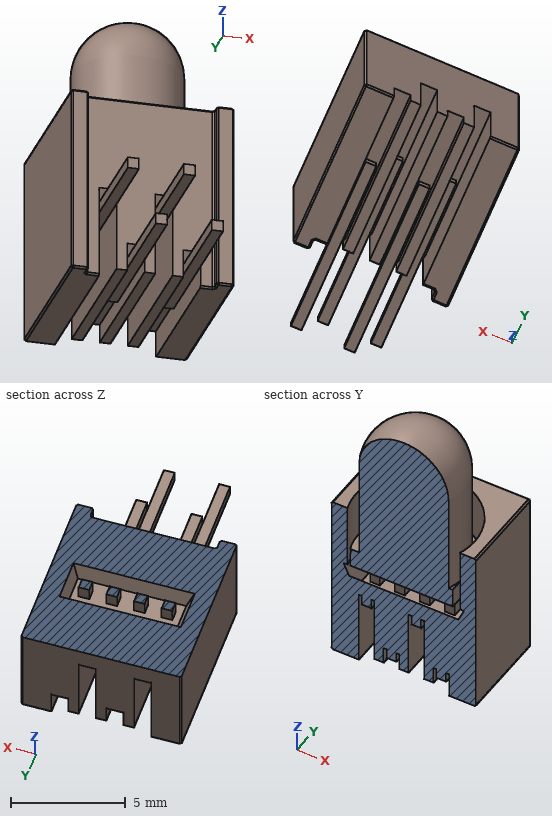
import cadquery as cq
import math

total_height = 13.93
total_depth = 11.56

housing_width = 7.37
housing_back = 3.68
housing_depth = 7.87
housing_height = 8.61
housing_front = housing_back - housing_depth
recess_width = 5.8
recess_depth = 0.5
recess_face = housing_front + recess_depth
edge_chamfer = 0.08

led_radius = 2.5
dome_centre_z = total_height - led_radius
flange_radius = 2.9
flange_height = 1.0
bore_radius = 3.02
bore_floor_z = 5.3

pocket_length = 6.1
pocket_width = 2.51
pocket_depth = 1.21
pocket_wall_slope = 65.0

lead_pitch = 1.27
lead_size = 0.5
lead_end = housing_back - total_depth
lower_lead_top = 1.25
upper_lead_top = lower_lead_top + 2 * lead_pitch
lead_tops = [upper_lead_top, lower_lead_top, upper_lead_top, lower_lead_top]
lead_count = len(lead_tops)
leads = [((i - (lead_count - 1) / 2) * lead_pitch, top) for i, top in enumerate(lead_tops)]

slot_width = 0.78
slot_lead_in_height = 0.45
slot_lead_in_depth = 0.26
rib_bottom_z = 0.4


def box(x_range, y_range, z_range):
    """Axis-aligned block spanning the three given (low, high) ranges."""
    spans = (x_range, y_range, z_range)
    size = [high - low for low, high in spans]
    corner = tuple(low for low, high in spans)
    return cq.Workplane("XY").box(*size, centered=False).translate(corner)


def housing_block():
    """Plain block with the front recess and broken outer edges."""
    half_width = housing_width / 2
    half_recess = recess_width / 2
    right_side = [
        (half_width, housing_back),
        (half_width, housing_front),
        (half_recess, housing_front),
        (half_recess, recess_face),
    ]
    left_side = [(-x, y) for x, y in reversed(right_side)]
    block = cq.Workplane("XY").polyline(right_side + left_side).close().extrude(housing_height)
    block = block.edges("|Z").chamfer(edge_chamfer)
    return block.faces("<Z or >Z").chamfer(edge_chamfer)


def slot_cutter(x, top):
    """Slot from the underside up to the lead top, through the whole depth."""
    profile = [
        (housing_front, 0),
        (housing_back, 0),
        (housing_back, top),
        (recess_face + slot_lead_in_depth, top),
        (recess_face, top + slot_lead_in_height),
        (housing_front, top + slot_lead_in_height),
    ]
    cutter = cq.Workplane("YZ").polyline(profile).close().extrude(slot_width / 2, both=True)
    return cutter.translate((x, 0, 0))


def rib_relief():
    """Shallow cut that lifts the ribs between the slots off the underside."""
    half_span = leads[-1][0] + slot_width / 2
    return box((-half_span, half_span), (housing_front, housing_back), (0, rib_bottom_z))


def led_bore():
    """Round bore from the top face, with the tapered pocket in its floor."""
    bore = cq.Workplane("XY", origin=(0, 0, bore_floor_z)).circle(bore_radius)
    bore = bore.extrude(housing_height - bore_floor_z)
    inset = pocket_depth / math.tan(math.radians(pocket_wall_slope))
    pocket = (
        cq.Workplane("XY", origin=(0, 0, bore_floor_z))
        .rect(pocket_length, pocket_width)
        .workplane(offset=-pocket_depth)
        .rect(pocket_length - 2 * inset, pocket_width - 2 * inset)
        .loft(ruled=True)
    )
    return bore.union(pocket)


def led():
    """Domed LED body on a flange that is cut flat on its +X side."""
    base = cq.Workplane("XY", origin=(0, 0, bore_floor_z))
    flat_side = box(
        (led_radius, flange_radius),
        (-flange_radius, flange_radius),
        (bore_floor_z, bore_floor_z + flange_height),
    )
    flange = base.circle(flange_radius).extrude(flange_height).cut(flat_side)
    domed_body = (
        cq.Workplane("XZ")
        .moveTo(0, bore_floor_z)
        .lineTo(led_radius, bore_floor_z)
        .lineTo(led_radius, dome_centre_z)
        .radiusArc((0, total_height), -led_radius)
        .close()
        .revolve(360, (0, 0), (0, 1))
    )
    return flange.union(domed_body)


def bent_lead(x, top):
    """Lead that drops from the LED flange and turns toward -Y."""
    half = lead_size / 2
    sides = (x - half, x + half)
    drop = box(sides, (-half, half), (top - lead_size, bore_floor_z))
    pin = box(sides, (lead_end, half), (top - lead_size, top))
    return drop.union(pin)


housing = housing_block().cut(rib_relief()).cut(led_bore())
for lead_x, lead_top in leads:
    housing = housing.cut(slot_cutter(lead_x, lead_top))

result = housing.union(led())
for lead_x, lead_top in leads:
    result = result.union(bent_lead(lead_x, lead_top))